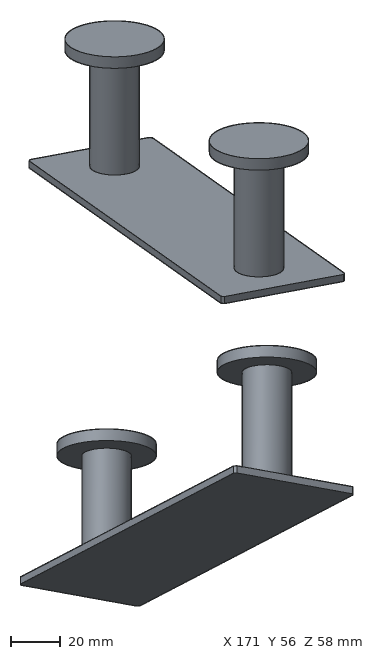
import cadquery as cq

plate_length = 171.0
plate_width = 56.0
plate_thickness = 3.0
corner_chamfer = 1.0

post_spacing = 127.0
post_diameter = 20.0
post_height = 50.0
head_diameter = 2 * post_diameter
head_thickness = 5.0


def make_plate():
    """Flat plate with its underside at Z = 0 and chamfered vertical corners."""
    plate = cq.Workplane("XY").box(
        plate_length, plate_width, plate_thickness, centered=(True, True, False)
    )
    return plate.edges("|Z").chamfer(corner_chamfer)


def make_knob(x):
    """Round post standing on the plate, topped by a wider disc."""
    post = (
        cq.Workplane("XY", origin=(x, 0, plate_thickness))
        .circle(post_diameter / 2)
        .extrude(post_height)
    )
    head = (
        cq.Workplane("XY", origin=(x, 0, plate_thickness + post_height))
        .circle(head_diameter / 2)
        .extrude(head_thickness)
    )
    return post.union(head)


result = make_plate()
for side in (-1, 1):
    result = result.union(make_knob(side * post_spacing / 2))